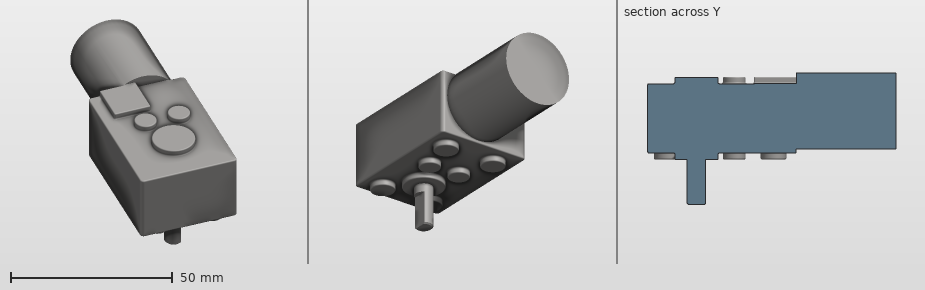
import cadquery as cq

overall_length = 76.8
motor_length = 30.8
box_length = overall_length - motor_length
box_width = 32.0
box_height = 21.5
box_corner_radius = 1.2
box_edge_radius = 0.45

motor_diameter = 24.1
motor_y = 2.15
motor_top_z = 25.1

raised_height = 2.0
raised_edge_radius = 0.4
raised_base_radius = 0.4

shaft_x = 61.7
shaft_y = 0.5
output_boss_diameter = 13.5
axle_x = 49.9
axle_y_positions = (6.8, -4.2)
axle_boss_diameter = 7.0

mount_x_positions = (37.8, 70.8)
mount_offset_y = 9.0
mount_boss_diameter = 7.9

shaft_diameter = 6.0
shaft_tip_z = -15.9
shaft_tip_chamfer = 0.45
shaft_flat_length = 11.0
shaft_flat_offset = 1.5

pad_length = 13.05
pad_width = 12.0
pad_min_y = -12.1
pad_corner_radius = 0.45


def make_motor(length):
    motor_z = motor_top_z - motor_diameter / 2
    motor = cq.Workplane("YZ").center(motor_y, motor_z).circle(motor_diameter / 2)
    return motor.extrude(length)


def make_pad():
    """Pad on top of the housing, still sharp along its -X end."""
    pad = cq.Workplane("XY").box(pad_length, pad_width, raised_height, centered=False)
    pad = pad.edges("|Z and >X").fillet(pad_corner_radius)
    pad = pad.faces(">Z").edges("not <X").fillet(raised_edge_radius)
    return pad.translate((motor_length, pad_min_y, box_height))


def make_housing():
    box = cq.Workplane("XY").box(box_length, box_width, box_height, centered=(False, True, False))
    box = box.edges("|Z").fillet(box_corner_radius)
    housing = box.translate((motor_length, 0, 0)).union(make_pad())
    foot_point = (motor_length + pad_length / 2, pad_min_y, box_height)
    housing = housing.edges(cq.selectors.NearestToPointSelector(foot_point)).fillet(raised_base_radius)
    rounded = housing.edges("|Y and >X").fillet(box_edge_radius)
    motor_seat = make_motor(motor_length + box_edge_radius).intersect(housing)
    return rounded.union(motor_seat)


def make_boss(x, y, diameter):
    """Boss standing on Z = 0 with a rounded rim and a fillet around its foot."""
    radius = diameter / 2
    foot = radius + raised_base_radius
    rim = radius - raised_edge_radius
    rim_z = raised_height - raised_edge_radius
    profile = (
        cq.Workplane("XZ")
        .moveTo(0, 0)
        .lineTo(foot, 0)
        .radiusArc((radius, raised_base_radius), raised_base_radius)
        .lineTo(radius, rim_z)
        .radiusArc((rim, raised_height), -raised_edge_radius)
        .lineTo(0, raised_height)
        .close()
    )
    return profile.revolve(360, (0, 0, 0), (0, 1, 0)).translate((x, y, 0))


def make_shaft():
    shaft = cq.Workplane("XY").circle(shaft_diameter / 2).extrude(shaft_tip_z)
    shaft = shaft.faces("<Z").edges().chamfer(shaft_tip_chamfer)
    flat = (
        cq.Workplane("XY")
        .box(shaft_diameter, shaft_diameter, shaft_flat_length, centered=(True, False, False))
        .translate((0, shaft_flat_offset, shaft_tip_z))
    )
    return shaft.cut(flat).translate((shaft_x, shaft_y, 0))


through_bosses = [make_boss(axle_x, y, axle_boss_diameter) for y in axle_y_positions]
through_bosses.append(make_boss(shaft_x, shaft_y, output_boss_diameter))

mount_bosses = [
    make_boss(x, shaft_y + side * mount_offset_y, mount_boss_diameter)
    for x in mount_x_positions
    for side in (-1, 1)
]

result = make_housing().union(make_motor(motor_length))
for boss in through_bosses:
    result = result.union(boss.translate((0, 0, box_height)))
for boss in through_bosses + mount_bosses:
    result = result.union(boss.mirror("XY"))
result = result.union(make_shaft())